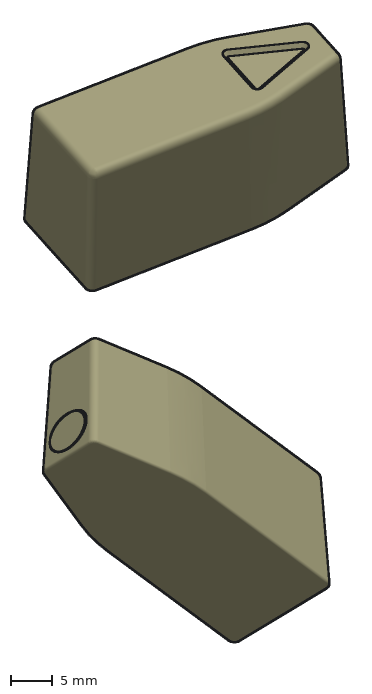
import cadquery as cq
import math

length = 38.47
width = 15.95
height = 18.0
draft = 2.5
nose_angle = 16.0
shoulder_radius = 20.0
shoulder_y = 3.3
edge_radius = 1.0
bottom_radius = 0.35

boss_radius = 3.2
boss_chamfer = 0.4
boss_z = 4.0
boss_depth = 1.92

pocket_base_y = 6.08
pocket_half_base = 4.42
pocket_height = 11.08
pocket_corner_radius = 0.77
pocket_depth = 0.58
pocket_wall_angle = 45.0

draft_rad = math.radians(draft)
foot_trim = bottom_radius * (math.tan(draft_rad) + 1 / math.cos(draft_rad) - 1)


def body():
    """Drafted block with a tapered nose toward +Y and rounded edges."""
    half_width = width / 2 + foot_trim
    half_length = length / 2 + foot_trim
    nose = math.radians(nose_angle)

    def shoulder_point(angle):
        x = half_width - shoulder_radius * (1 - math.cos(angle))
        y = shoulder_y + shoulder_radius * math.sin(angle)
        return x, y

    def mirrored(point):
        return -point[0], point[1]

    shoulder_mid = shoulder_point(nose / 2)
    shoulder_end = shoulder_point(nose)
    tip_half_width = shoulder_end[0] - (half_length - shoulder_end[1]) * math.tan(nose)

    block = (
        cq.Workplane("XY")
        .moveTo(-half_width, -half_length)
        .lineTo(half_width, -half_length)
        .lineTo(half_width, shoulder_y)
        .threePointArc(shoulder_mid, shoulder_end)
        .lineTo(tip_half_width, half_length)
        .lineTo(-tip_half_width, half_length)
        .lineTo(*mirrored(shoulder_end))
        .threePointArc(mirrored(shoulder_mid), (-half_width, shoulder_y))
        .close()
        .extrude(height, taper=draft)
    )

    for y_from, y_to in ((-length, -length / 4), (length / 4, length)):
        corners = cq.selectors.BoxSelector(
            (-width, y_from, height / 4), (width, y_to, height * 3 / 4))
        block = block.edges(corners).fillet(edge_radius)

    block = block.faces(">Z").edges().fillet(edge_radius)
    return block.faces("<Z").edges().fillet(bottom_radius)


def nose_boss():
    """Round boss with a chamfered rim, its flat end upright at the nose."""
    return (
        cq.Workplane("XZ", origin=(0, length / 2, boss_z))
        .circle(boss_radius)
        .extrude(boss_depth)
        .faces(">Y")
        .edges()
        .chamfer(boss_chamfer)
    )


def arrow_pocket():
    """Shallow triangular recess pointing at the nose, with sloping walls."""
    base_left = (-pocket_half_base, pocket_base_y)
    base_right = (pocket_half_base, pocket_base_y)
    tip = (0, pocket_base_y + pocket_height)
    outline = (
        cq.Sketch()
        .polygon([base_left, base_right, tip, base_left])
        .vertices()
        .fillet(pocket_corner_radius)
    )
    return (
        cq.Workplane("XY", origin=(0, 0, height))
        .placeSketch(outline)
        .extrude(-pocket_depth, taper=pocket_wall_angle)
    )


result = body().union(nose_boss()).cut(arrow_pocket())